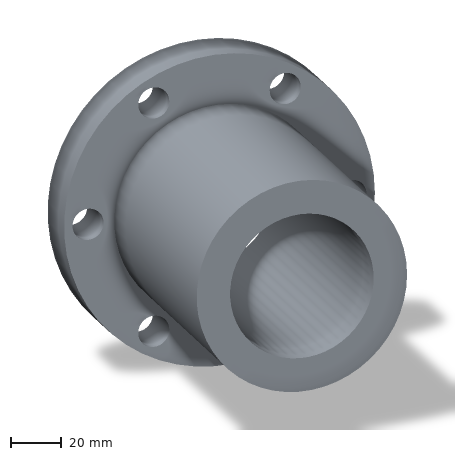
import cadquery as cq

flange_diameter = 130.0
flange_thickness = 20.0
total_length = 120.0
body_diameter = 88.0
bore_diameter = 60.0
bolt_circle_diameter = 110.0
bolt_hole_diameter = 13.0
bolt_count = 6

flange = cq.Workplane("YZ").circle(flange_diameter / 2).extrude(flange_thickness)

body = cq.Workplane("YZ").circle(body_diameter / 2).extrude(total_length)

bore = cq.Workplane("YZ").circle(bore_diameter / 2).extrude(total_length)

bolt_holes = (
    cq.Workplane("YZ")
    .polarArray(bolt_circle_diameter / 2, 0, 360, bolt_count)
    .circle(bolt_hole_diameter / 2)
    .extrude(flange_thickness)
)

result = flange.union(body).cut(bore).cut(bolt_holes)